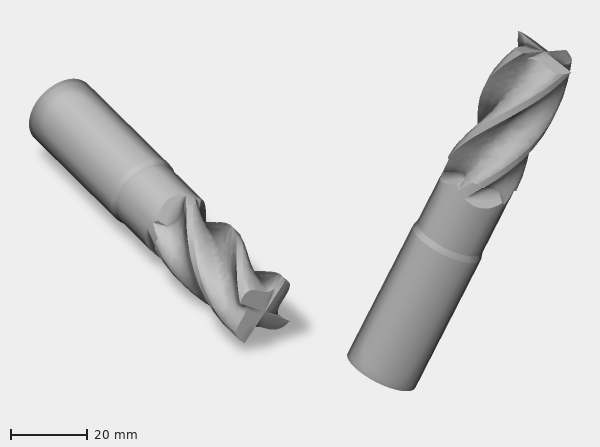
import cadquery as cq
import math

total_length = 100.0
cutter_length = 38.2
cutter_start = total_length - cutter_length
cutter_radius = 10.0

shank_radius = cutter_radius
neck_radius = 9.5
shank_length = 40.2
neck_taper_length = 1.8
runout_start = 56.0
runout_margin = 1.0
runout_slope = 45.0
runout_flat_angle = 5.0

flute_count = 4
tooth_pitch = 360.0 / flute_count
helix_angle = 32.5
core_radius = 5.5
land_angle = 12.0
rake_point_radius = 7.0
rake_point_angle = 5.0
floor_angle = 19.0
back_point_radius = 6.6
back_point_angle = 50.0
tip_angle = 51.0

end_relief_angle = 15.0

helix_lead = 2 * math.pi * cutter_radius / math.tan(math.radians(helix_angle))


def edge_angle(x):
    """Angular place of a cutting edge at the given distance along the axis."""
    return tip_angle - 360.0 * (total_length - x) / helix_lead


def polar(radius, angle):
    return (radius * math.cos(math.radians(angle)), radius * math.sin(math.radians(angle)))


def fluted_bar(start, length):
    """Twisted bar whose section has a narrow land and a curved flute for each tooth."""
    first_edge = edge_angle(start)
    section = cq.Workplane("YZ", origin=(start, 0, 0)).moveTo(
        *polar(cutter_radius, first_edge - land_angle)
    )
    for tooth in range(flute_count):
        edge = first_edge + tooth * tooth_pitch
        next_heel = edge + tooth_pitch - land_angle
        section = section.threePointArc(
            polar(cutter_radius, edge - land_angle / 2), polar(cutter_radius, edge)
        )
        flute_points = [
            polar(rake_point_radius, edge + rake_point_angle),
            polar(core_radius, edge + floor_angle),
            polar(back_point_radius, edge + back_point_angle),
            polar(cutter_radius, next_heel),
        ]
        section = section.spline(flute_points, includeCurrent=True)
    return section.close().twistExtrude(length, 360.0 * length / helix_lead)


def make_shank():
    """Plain shank and neck, with each flute running out at a sloping flat in the neck."""
    plain = (
        cq.Workplane("XY")
        .polyline([
            (0, 0),
            (0, shank_radius),
            (shank_length, shank_radius),
            (shank_length + neck_taper_length, neck_radius),
            (cutter_start, neck_radius),
            (cutter_start, 0),
        ])
        .close()
        .revolve(360, (0, 0, 0), (1, 0, 0))
    )
    margin_start = runout_start - runout_margin
    length = cutter_start - margin_start
    margin_rise = runout_margin * math.tan(math.radians(runout_slope))
    flat_width = 2 * (neck_radius + margin_rise)
    flats = (
        cq.Workplane("YZ", origin=(margin_start, 0, 0))
        .rect(flat_width, flat_width)
        .extrude(length, taper=runout_slope)
        .rotate((0, 0, 0), (1, 0, 0), runout_flat_angle)
    )
    waste = (
        cq.Workplane("YZ", origin=(margin_start, 0, 0))
        .circle(cutter_radius)
        .extrude(length)
        .cut(flats)
        .cut(fluted_bar(margin_start, length))
    )
    return plain.cut(waste)


def end_relief(edge):
    """Wedge above the end face of one tooth, sloping back behind its cutting edge."""
    reach = 2 * cutter_radius
    drop = reach * math.tan(math.radians(end_relief_angle))
    wedge = (
        cq.Workplane("XZ")
        .polyline([(total_length, 0), (total_length, -reach), (total_length - drop, -reach)])
        .close()
        .extrude(-reach)
    )
    return wedge.rotate((0, 0, 0), (1, 0, 0), edge)


def make_cutter():
    cutter = fluted_bar(cutter_start, cutter_length)
    for tooth in range(flute_count):
        edge = tip_angle + tooth * tooth_pitch
        cutter = cutter.cut(end_relief(edge))
    return cutter


shank = make_shank()
cutter = make_cutter()

result = cq.Compound.makeCompound([shank.val(), cutter.val()])